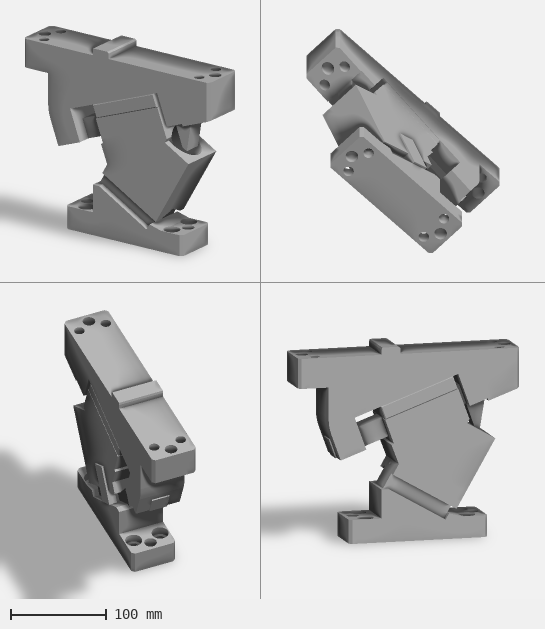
import cadquery as cq
import math

BODY_DEPTH = 50.0
MID_Y = BODY_DEPTH / 2
CORNER_CHAMFER = 3.0

DRIVER_LENGTH = 240.0
DRIVER_TOP = 200.0
WING_BOTTOM = 168.0
FOOT_BACK_X = 32.5
FOOT_BLEND_RADIUS = 50.0
FOOT_WIDTH = 29.5
KEY_X = 90.0
KEY_WIDTH = 20.5
KEY_HEIGHT = 7.7
KEY_LEAD_IN = (0.7, 2.5)
KEY_CHAMFER = 1.7

SLIDE_ANGLE = 20.0
SLIDE_ORIGIN = (60.7, 134.5)
RECESS_LENGTH = 119.5
RECESS_DEPTH = 37.0
LIP_END = 140.2
LIP_DROP = 2.6
TONGUE_TIP_START = 58.3
TONGUE_TIP_END = 64.8

BAR_WIDTH = 20.0
BAR_TOP = 15.0
BAR_PROTRUSION = 1.5

RAMP_ANGLE = -30.0
RAMP_ORIGIN = (102.2, 71.5)

SLIDER_LEFT = 29.8
SLIDER_RIGHT = 114.2
SLIDER_STEP_DEPTH = 42.7
SLIDER_STEP_WIDTH = 3.0
SLIDER_HEEL = 12.7
SLIDER_SOLE = 79.7
SHOULDER_HEIGHT = 84.2
SHOULDER_START = 44.5
UNDERCUT_HEIGHT = 5.0
STRIP_CHAMFER = 1.0
STRIP_INSET = 0.5

SPRING_BORE_DIAMETER = 36.0
SPRING_BORE_CENTRE = -58.0
SPRING_BORE_DEPTH = 28.8

PLATE_START = 19.2
PLATE_WIDTH = 20.6
PLATE_BOTTOM = -14.5
PLATE_TOP = 27.4
PLATE_INNER_Y = 43.2
PLATE_OUTER_Y = 52.0

BASE_X = 55.0
BASE_LENGTH = 150.0
BASE_LEFT_HEIGHT = 25.5
BASE_RIGHT_HEIGHT = 23.3
PEDESTAL_X = KEY_X
PEDESTAL_HEIGHT = 56.2
LEDGE_DEPTH = 15.4
LEDGE_WALL_TOP = 8.0
APRON_END_X = 178.0

RIDGE_LENGTH = 75.0
RIDGE_WIDTH = 36.0
RIDGE_FLAT_WIDTH = 10.0
RIDGE_RISE = 7.2
RIDGE_ROOT = 19.2
RELIEF_WIDTH = 8.0
RELIEF_DEPTH = 2.6
NOTCH_LENGTH = 29.5
NOTCH_WIDTH = 6.0

DOWEL_DIAMETER = 13.2
DOWEL_INSET = 10.0
BOLT_DIAMETER = 11.0
BOLT_INSET = 20.0
BOLT_SPACING = 30.0
COUNTERBORE_DIAMETER = 17.8
COUNTERBORE_DEPTH = 9.0


def frame_point(origin, angle, along, across):
    """X, Z of a point given along and across a tilted frame."""
    a = math.radians(angle)
    x = origin[0] + along * math.cos(a) - across * math.sin(a)
    z = origin[1] + along * math.sin(a) + across * math.cos(a)
    return x, z


def slide(along, across):
    return frame_point(SLIDE_ORIGIN, SLIDE_ANGLE, along, across)


def ramp(along, across):
    return frame_point(RAMP_ORIGIN, RAMP_ANGLE, along, across)


def z_on_line(point, angle, x):
    """Height at x of the straight line through a point at an angle."""
    return point[1] + (x - point[0]) * math.tan(math.radians(angle))


def prism(points, y_start=0.0, y_end=BODY_DEPTH):
    """Extrude an X-Z outline along Y."""
    plane = cq.Workplane("XZ", origin=(0, y_start, 0))
    return plane.polyline(points).close().extrude(y_start - y_end)


def frame_block(frame, along, across, y_start, y_end):
    """Rectangular block aligned with a tilted frame."""
    corners = [
        frame(along[0], across[0]),
        frame(along[1], across[0]),
        frame(along[1], across[1]),
        frame(along[0], across[1]),
    ]
    return prism(corners, y_start, y_end)


def chamfer_end_corners(body):
    """Bevel the upright corners at both X ends of a body."""
    for end in ("<X", ">X"):
        body = body.faces(end).edges("|Z").chamfer(CORNER_CHAMFER)
    return body


def end_positions(x_start, length, inset):
    return x_start + inset, x_start + length - inset


def cylinder(x, y, z, diameter, height):
    return cq.Workplane("XY", origin=(x, y, z)).circle(diameter / 2).extrude(height)


def drill_fixing_holes(body, x_start, length, top):
    """One dowel hole and two bolt holes straight through at each end."""
    for x in end_positions(x_start, length, DOWEL_INSET):
        body = body.cut(cylinder(x, MID_Y, 0, DOWEL_DIAMETER, top))
    for x in end_positions(x_start, length, BOLT_INSET):
        for side in (-1, 1):
            y = MID_Y + side * BOLT_SPACING / 2
            body = body.cut(cylinder(x, y, 0, BOLT_DIAMETER, top))
    return body


def guide_bar(along_start, along_end):
    """Stretch of the guide bar, centred in Y."""
    return frame_block(
        slide,
        (along_start, along_end),
        (-RECESS_DEPTH, -BAR_TOP),
        MID_Y - BAR_WIDTH / 2,
        MID_Y + BAR_WIDTH / 2,
    )


def ridge_plane():
    """Cross-section plane of the ridge: local x is Y, local y is square to the ramp."""
    a = math.radians(RAMP_ANGLE)
    return cq.Plane(
        origin=(RAMP_ORIGIN[0], MID_Y, RAMP_ORIGIN[1]),
        xDir=(0, 1, 0),
        normal=(math.cos(a), 0, math.sin(a)),
    )


def ridge_prism(length):
    """Roof-shaped ridge running down the ramp."""
    section = [
        (-RIDGE_WIDTH / 2, -RIDGE_ROOT),
        (RIDGE_WIDTH / 2, -RIDGE_ROOT),
        (RIDGE_WIDTH / 2, 0),
        (RIDGE_FLAT_WIDTH / 2, RIDGE_RISE),
        (-RIDGE_FLAT_WIDTH / 2, RIDGE_RISE),
        (-RIDGE_WIDTH / 2, 0),
    ]
    return cq.Workplane(ridge_plane()).polyline(section).close().extrude(length)


def spring_bore():
    """Bore from inside the slider out past the end of its sole."""
    a = math.radians(SLIDE_ANGLE)
    x, z = slide(SLIDER_RIGHT - SPRING_BORE_DEPTH, SPRING_BORE_CENTRE)
    plane = cq.Plane(origin=(x, MID_Y, z), xDir=(0, 1, 0), normal=(math.cos(a), 0, math.sin(a)))
    length = SPRING_BORE_DEPTH + SLIDER_SOLE
    return cq.Workplane(plane).circle(SPRING_BORE_DIAMETER / 2).extrude(length)


def make_driver():
    lip_corner = slide(LIP_END, -RECESS_DEPTH - LIP_DROP)
    foot_toe = slide(-FOOT_WIDTH, -RECESS_DEPTH)
    foot_bend = (FOOT_BACK_X, z_on_line(foot_toe, SLIDE_ANGLE + 90, FOOT_BACK_X))
    outline = [
        (0, DRIVER_TOP),
        (DRIVER_LENGTH, DRIVER_TOP),
        (DRIVER_LENGTH, z_on_line(lip_corner, SLIDE_ANGLE, DRIVER_LENGTH)),
        lip_corner,
        slide(LIP_END, -RECESS_DEPTH),
        slide(RECESS_LENGTH, -RECESS_DEPTH),
        slide(RECESS_LENGTH, 0),
        slide(0, 0),
        slide(0, -RECESS_DEPTH),
        foot_toe,
        foot_bend,
        (FOOT_BACK_X, WING_BOTTOM),
        (0, WING_BOTTOM),
    ]
    body = chamfer_end_corners(prism(outline))

    bend_edge = cq.selectors.NearestToPointSelector((foot_bend[0], MID_Y, foot_bend[1]))
    body = body.edges(bend_edge).fillet(FOOT_BLEND_RADIUS)

    key_top = DRIVER_TOP + KEY_HEIGHT
    key_end = KEY_X + KEY_WIDTH
    lead_width, lead_height = KEY_LEAD_IN
    key = prism([
        (KEY_X, DRIVER_TOP),
        (key_end, DRIVER_TOP),
        (key_end, key_top - KEY_CHAMFER),
        (key_end - KEY_CHAMFER, key_top),
        (KEY_X + lead_width, key_top),
        (KEY_X, key_top - lead_height),
    ])

    tongue = prism(
        [
            slide(RECESS_LENGTH, -RECESS_DEPTH),
            slide(LIP_END, -RECESS_DEPTH),
            lip_corner,
            ramp(TONGUE_TIP_END, SHOULDER_HEIGHT),
            ramp(TONGUE_TIP_START, SHOULDER_HEIGHT),
        ],
        MID_Y - BAR_WIDTH / 2,
        MID_Y + BAR_WIDTH / 2,
    )

    bar = guide_bar(-FOOT_WIDTH - BAR_PROTRUSION, LIP_END)
    body = body.union(key).union(tongue).union(bar)
    return drill_fixing_holes(body, 0, DRIVER_LENGTH, DRIVER_TOP)


def make_slider():
    step_left = SLIDER_LEFT - SLIDER_STEP_WIDTH
    body = prism([
        slide(SLIDER_LEFT, -BAR_TOP),
        slide(SLIDER_LEFT, -SLIDER_STEP_DEPTH),
        slide(step_left, -SLIDER_STEP_DEPTH),
        ramp(0, SLIDER_HEEL),
        ramp(0, 0),
        ramp(SLIDER_SOLE, 0),
        ramp(SLIDER_SOLE, SHOULDER_HEIGHT),
        ramp(SHOULDER_START, SHOULDER_HEIGHT),
        ramp(SHOULDER_START, SHOULDER_HEIGHT + UNDERCUT_HEIGHT),
        slide(SLIDER_RIGHT, -BAR_TOP),
    ])

    strip_span = (SLIDER_LEFT + STRIP_INSET, SLIDER_RIGHT - STRIP_INSET)
    strip = frame_block(slide, strip_span, (-BAR_TOP, 0), 0, BODY_DEPTH)
    strip = strip.faces("<Y or >Y").edges().chamfer(STRIP_CHAMFER)
    body = body.union(strip)

    plate = frame_block(
        ramp,
        (PLATE_START, PLATE_START + PLATE_WIDTH),
        (PLATE_BOTTOM, PLATE_TOP),
        PLATE_INNER_Y,
        PLATE_OUTER_Y,
    )
    body = body.union(plate)

    body = body.cut(guide_bar(0, RECESS_LENGTH)).cut(spring_bore())

    relief = frame_block(
        ramp,
        (0, SLIDER_SOLE),
        (0, RIDGE_RISE + RELIEF_DEPTH),
        MID_Y - RELIEF_WIDTH / 2,
        MID_Y + RELIEF_WIDTH / 2,
    )
    return body.cut(ridge_prism(SLIDER_SOLE)).cut(relief)


def make_base():
    base_end = BASE_X + BASE_LENGTH
    ledge_angle = math.radians(RAMP_ANGLE)
    ledge_foot = ramp(RIDGE_LENGTH, -LEDGE_DEPTH)
    ledge_start_x = ledge_foot[0] + (PEDESTAL_HEIGHT - ledge_foot[1]) / math.tan(ledge_angle)
    body = prism([
        (BASE_X, 0),
        (base_end, 0),
        (base_end, BASE_RIGHT_HEIGHT),
        (APRON_END_X, BASE_RIGHT_HEIGHT),
        ramp(RIDGE_LENGTH, -LEDGE_WALL_TOP),
        ledge_foot,
        (ledge_start_x, PEDESTAL_HEIGHT),
        (PEDESTAL_X, PEDESTAL_HEIGHT),
        (PEDESTAL_X, BASE_LEFT_HEIGHT),
        (BASE_X, BASE_LEFT_HEIGHT),
    ])
    body = chamfer_end_corners(body)

    ridge_rear = MID_Y + RIDGE_WIDTH / 2
    notch = frame_block(
        ramp,
        (0, NOTCH_LENGTH),
        (-RIDGE_ROOT, RIDGE_RISE),
        ridge_rear - NOTCH_WIDTH,
        ridge_rear,
    )
    body = body.union(ridge_prism(RIDGE_LENGTH).cut(notch))

    body = drill_fixing_holes(body, BASE_X, BASE_LENGTH, BASE_LEFT_HEIGHT)
    bolt_rows = zip(
        end_positions(BASE_X, BASE_LENGTH, BOLT_INSET),
        (BASE_LEFT_HEIGHT, BASE_RIGHT_HEIGHT),
    )
    for x, top in bolt_rows:
        for side in (-1, 1):
            y = MID_Y + side * BOLT_SPACING / 2
            floor = top - COUNTERBORE_DEPTH
            body = body.cut(cylinder(x, y, floor, COUNTERBORE_DIAMETER, 2 * COUNTERBORE_DEPTH))
    return body


driver = make_driver()
slider = make_slider()
base = make_base()

bodies = [driver, slider, base]
result = cq.Compound.makeCompound([body.solids().val() for body in bodies])